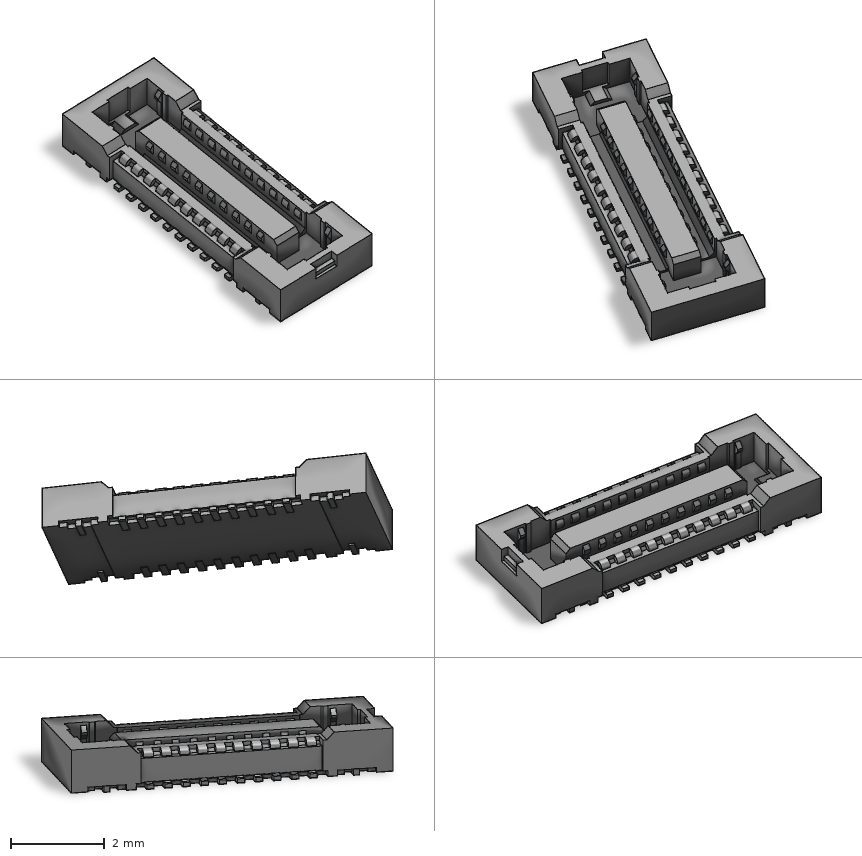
import cadquery as cq

LENGTH = 7.1
WIDTH = 2.6
HEIGHT = 1.0
MID_BOTTOM = 0.02
END_BOTTOM = 0.04
MID_BOTTOM_HALF = 2.5

WALL_TOP = 0.84
RAMP_TOP_X = 2.25
WALL_HALF_LENGTH = 2.01
WALL_OUTER_Y = 1.21
SHELF_Z = 0.68
SHELF_INNER_Y = 1.04
SHELF_BEVEL = 0.065

FLOOR_Z = 0.21
GROOVE_FLOOR_Z = 0.27
PIT_HALF_LENGTH = 3.175
PIT_HALF_WIDTH = 0.78
GROOVE_HALF_WIDTH = 0.74
GROOVE_BEVEL = 0.115

ISLAND_HALF_LENGTH = 2.3
ISLAND_TOP = 0.86
ISLAND_HALF_WIDTH = 0.31
ISLAND_BEVEL = 0.05
ISLAND_CHAMFER = 0.11

NICHE_HALF_WIDTH = 0.3
NICHE_DEPTH = 0.065
HUMP_INNER_X = 2.84
HUMP_TOP_Y = 0.15
HUMP_FLOOR_Y = 0.25
HUMP_HEIGHT = 0.1
NOTCH_INNER_X = 3.38
NOTCH_STEP_X = 3.485
NOTCH_DEPTH = 0.21
NOTCH_STEP = 0.11

RIB_OUTER_X = 2.635
RIB_INNER_X = 2.49
RIB_CHAMFER = 0.03
RIB_HEIGHT = 0.04

FITTING_X = 2.755
FITTING_WIDTH = 0.13
FITTING_LEG = 0.03
FITTING_FOOT_Y = 1.265
FINGER_TOP_Z = 0.93
FINGER_TIP_Y = 0.68
FINGER_TIP_TOP_Z = 0.795
FINGER_TIP_LOW_Z = 0.74
FINGER_LOW_Z = 0.64

POCKET_TOP = 0.15
POCKET_OUTER_X = 3.19
POCKET_INNER_X = 2.33
POCKET_DEPTH = 0.09
DEEP_POCKET_OUTER_X = 3.02
DEEP_POCKET_DEPTH = 0.185
FOOT_SLOT_HALF = 2.115
FOOT_SLOT_Y = 1.11
FOOT_SLOT_BEVEL = 0.04

CONTACT_COUNT = 10
CONTACT_SPAN = 3.6
FOOT_WIDTH = 0.155
FOOT_THICK = 0.11
FOOT_TOE_LENGTH = 0.035
FOOT_TOE_HEIGHT = 0.02
FOOT_HEEL_Y = 1.21
FOOT_INNER_Y = 0.85
BEND_WIDTH = 0.22
WALL_BUMP_WIDTH = 0.19
WALL_BUMP_Y = 0.69
WALL_BUMP_Z = (0.53, 0.775)
ISLAND_BUMP_WIDTH = 0.155
ISLAND_BUMP_Y = 0.39
ISLAND_BUMP_KNEE_Z = 0.7
ISLAND_BUMP_Z = (0.51, 0.795)
ISLAND_BUMP_RADIUS = 0.285

HALF_LENGTH = LENGTH / 2
HALF_WIDTH = WIDTH / 2
RAMP_FOOT_X = RAMP_TOP_X - (HEIGHT - WALL_TOP)
SHELF_WALL_Y = SHELF_INNER_Y - SHELF_BEVEL
HUMP_TOP_Z = FLOOR_Z + HUMP_HEIGHT
PITCH = CONTACT_SPAN / (CONTACT_COUNT - 1)


def box(x0, x1, y0, y1, z0, z1):
    return cq.Workplane("XY").box(x1 - x0, y1 - y0, z1 - z0, centered=False).translate((x0, y0, z0))


def along_x(profile, x_center, length):
    """Extrude a closed (y, z) workplane profile along X, centred on x_center."""
    return profile.extrude(length / 2, both=True).translate((x_center, 0, 0))


def yz_prism(points, x_center, length):
    return along_x(cq.Workplane("YZ").polyline(points).close(), x_center, length)


def both_sides(shape):
    return shape.union(shape.mirror("XZ"))


def both_ends(shape):
    return shape.union(shape.mirror("YZ"))


def housing_block():
    outline = [
        (-HALF_LENGTH, END_BOTTOM), (-MID_BOTTOM_HALF, END_BOTTOM),
        (-MID_BOTTOM_HALF, MID_BOTTOM), (MID_BOTTOM_HALF, MID_BOTTOM),
        (MID_BOTTOM_HALF, END_BOTTOM), (HALF_LENGTH, END_BOTTOM),
        (HALF_LENGTH, HEIGHT), (RAMP_TOP_X, HEIGHT), (RAMP_FOOT_X, WALL_TOP),
        (-RAMP_FOOT_X, WALL_TOP), (-RAMP_TOP_X, HEIGHT), (-HALF_LENGTH, HEIGHT),
    ]
    return cq.Workplane("XZ").polyline(outline).close().extrude(HALF_WIDTH, both=True)


def side_wall_relief():
    """Material outside the stepped outer face of one side wall."""
    points = [
        (WALL_OUTER_Y, 0), (WALL_OUTER_Y, SHELF_Z), (SHELF_INNER_Y, SHELF_Z),
        (SHELF_WALL_Y, SHELF_Z + SHELF_BEVEL), (SHELF_WALL_Y, HEIGHT),
        (HALF_WIDTH, HEIGHT), (HALF_WIDTH, 0),
    ]
    return yz_prism(points, 0, 2 * WALL_HALF_LENGTH)


def mating_cavity():
    pit = box(WALL_HALF_LENGTH, PIT_HALF_LENGTH, -PIT_HALF_WIDTH, PIT_HALF_WIDTH, FLOOR_Z, HEIGHT)
    niche = box(PIT_HALF_LENGTH, PIT_HALF_LENGTH + NICHE_DEPTH,
                -NICHE_HALF_WIDTH, NICHE_HALF_WIDTH, HUMP_TOP_Z, HEIGHT)
    groove = box(-WALL_HALF_LENGTH, WALL_HALF_LENGTH,
                 -GROOVE_HALF_WIDTH, GROOVE_HALF_WIDTH, GROOVE_FLOOR_Z, HEIGHT)
    groove = groove.faces("<Z").edges("|X").chamfer(GROOVE_BEVEL)
    return both_ends(pit.union(niche)).union(groove)


def island():
    core = box(-ISLAND_HALF_LENGTH, ISLAND_HALF_LENGTH,
               -ISLAND_HALF_WIDTH, ISLAND_HALF_WIDTH, MID_BOTTOM, ISLAND_TOP)
    core = core.faces(">Z").edges("|Y").chamfer(ISLAND_CHAMFER)
    base = ISLAND_HALF_WIDTH + ISLAND_BEVEL
    bevel_top = GROOVE_FLOOR_Z + ISLAND_BEVEL
    flanks = yz_prism(
        [(-base, GROOVE_FLOOR_Z), (base, GROOVE_FLOOR_Z),
         (ISLAND_HALF_WIDTH, bevel_top), (-ISLAND_HALF_WIDTH, bevel_top)],
        0, 2 * WALL_HALF_LENGTH)
    return core.union(flanks)


def floor_hump():
    length = PIT_HALF_LENGTH - HUMP_INNER_X
    points = [(-HUMP_FLOOR_Y, FLOOR_Z), (HUMP_FLOOR_Y, FLOOR_Z),
              (HUMP_TOP_Y, HUMP_TOP_Z), (-HUMP_TOP_Y, HUMP_TOP_Z)]
    return yz_prism(points, HUMP_INNER_X + length / 2, length)


def keying_rib():
    tip = PIT_HALF_WIDTH - RIB_HEIGHT
    points = [
        (RIB_OUTER_X, PIT_HALF_WIDTH), (RIB_OUTER_X, tip),
        (RIB_INNER_X + RIB_CHAMFER, tip), (RIB_INNER_X, PIT_HALF_WIDTH),
    ]
    rib = cq.Workplane("XY").polyline(points).close().extrude(HEIGHT - FLOOR_Z)
    return rib.translate((0, 0, FLOOR_Z))


def hold_down():
    """Leg with a spring finger inside the pit and a foot under the end block."""
    leg_y = PIT_HALF_WIDTH - FITTING_LEG
    finger = yz_prism(
        [(PIT_HALF_WIDTH, FLOOR_Z), (leg_y, FLOOR_Z), (leg_y, FINGER_LOW_Z),
         (FINGER_TIP_Y, FINGER_TIP_LOW_Z), (FINGER_TIP_Y, FINGER_TIP_TOP_Z),
         (PIT_HALF_WIDTH, FINGER_TOP_Z)],
        FITTING_X, FITTING_WIDTH)
    foot = box(FITTING_X - FITTING_WIDTH / 2, FITTING_X + FITTING_WIDTH / 2,
               FOOT_INNER_Y, FITTING_FOOT_Y, 0, POCKET_TOP)
    return finger.union(foot)


def underside_pocket():
    shallow = box(POCKET_INNER_X, POCKET_OUTER_X, HALF_WIDTH - POCKET_DEPTH, HALF_WIDTH, 0, POCKET_TOP)
    deep = box(MID_BOTTOM_HALF, DEEP_POCKET_OUTER_X,
               HALF_WIDTH - DEEP_POCKET_DEPTH, HALF_WIDTH, 0, POCKET_TOP)
    return shallow.union(deep)


def foot_slot():
    points = [
        (HALF_WIDTH, 0), (HALF_WIDTH, POCKET_TOP), (FOOT_SLOT_Y + FOOT_SLOT_BEVEL, POCKET_TOP),
        (FOOT_SLOT_Y, POCKET_TOP - FOOT_SLOT_BEVEL), (FOOT_SLOT_Y, 0),
    ]
    return yz_prism(points, 0, 2 * FOOT_SLOT_HALF)


def outer_notch():
    """Stepped notch in the top edge of the +X end wall."""
    upper_floor = HEIGHT - NOTCH_DEPTH
    upper = box(NOTCH_INNER_X, HALF_LENGTH, -NICHE_HALF_WIDTH, NICHE_HALF_WIDTH, upper_floor, HEIGHT)
    lower = box(NOTCH_STEP_X, HALF_LENGTH, -NICHE_HALF_WIDTH, NICHE_HALF_WIDTH,
                upper_floor - NOTCH_STEP, upper_floor)
    return upper.union(lower)


def contact(x):
    """Exposed parts of one contact: foot, bend over the wall and two contact bumps."""
    rise = POCKET_TOP - FOOT_THICK
    foot = yz_prism(
        [(FOOT_INNER_Y, 0), (HALF_WIDTH - FOOT_TOE_LENGTH, 0), (HALF_WIDTH, FOOT_TOE_HEIGHT),
         (HALF_WIDTH, FOOT_THICK), (FOOT_HEEL_Y, FOOT_THICK),
         (FOOT_HEEL_Y - rise, POCKET_TOP), (FOOT_INNER_Y, POCKET_TOP)],
        x, FOOT_WIDTH)
    wall_bump = along_x(wall_bump_profile(), x, WALL_BUMP_WIDTH)
    island_bump = along_x(island_bump_profile(), x, ISLAND_BUMP_WIDTH)
    return foot.union(along_x(bend_profile(), x, BEND_WIDTH)).union(wall_bump).union(island_bump)


def bend_profile():
    """Quarter round from the shelf up to the wall top."""
    radius = WALL_TOP - SHELF_Z
    return (
        cq.Workplane("YZ").moveTo(SHELF_WALL_Y + radius, SHELF_Z)
        .radiusArc((SHELF_WALL_Y, WALL_TOP), -radius)
        .lineTo(SHELF_WALL_Y, SHELF_Z).close()
    )


def wall_bump_profile():
    low, high = WALL_BUMP_Z
    return (
        cq.Workplane("YZ").moveTo(GROOVE_HALF_WIDTH, low)
        .threePointArc((WALL_BUMP_Y, (low + high) / 2), (GROOVE_HALF_WIDTH, high)).close()
    )


def island_bump_profile():
    """Flat steep lead-in on top, rounded underneath."""
    low, high = ISLAND_BUMP_Z
    return (
        cq.Workplane("YZ").moveTo(ISLAND_HALF_WIDTH, high).lineTo(ISLAND_BUMP_Y, ISLAND_BUMP_KNEE_Z)
        .radiusArc((ISLAND_HALF_WIDTH, low), ISLAND_BUMP_RADIUS).close()
    )


result = (
    housing_block()
    .cut(both_sides(side_wall_relief()))
    .cut(mating_cavity())
    .cut(both_ends(both_sides(underside_pocket())))
    .cut(both_sides(foot_slot()))
    .cut(outer_notch())
    .union(island())
    .union(both_ends(floor_hump()))
    .union(both_ends(both_sides(keying_rib().union(hold_down()))))
)
for index in range(CONTACT_COUNT):
    result = result.union(both_sides(contact(index * PITCH - CONTACT_SPAN / 2)))